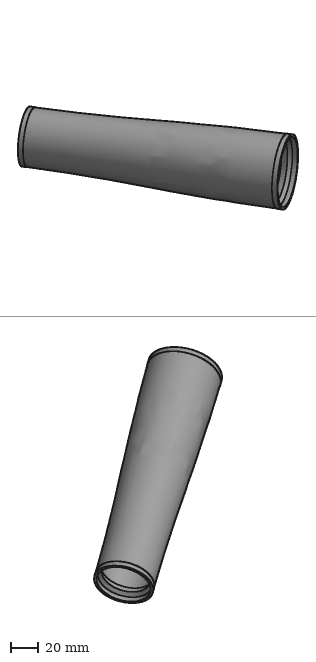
import cadquery as cq

length = 200.0
small_radius = 22.5
large_radius = 28.0
collar_length = 4.0
collar_step = 0.2
level_length = 0.2

rim_width = 2.0
throat_inset = 4.5
wall = 2.5
seat_depth = 4.0
throat_depth = 7.0
relief_depth = 12.0

half_length = length / 2
small_neck_radius = small_radius - collar_step
large_neck_radius = large_radius - collar_step


def add_taper(profile, start, end):
    """Add an S-curve of two tangent arcs that runs parallel to X at both ends."""
    middle = ((start[0] + end[0]) / 2, (start[1] + end[1]) / 2)
    return profile.tangentArcPoint(middle, relative=False).tangentArcPoint(end, relative=False)


def revolve_about_x(profile):
    return profile.close().revolve(360, (0, 0, 0), (1, 0, 0))


def make_outer_body():
    neck_end = half_length - collar_length
    small_neck = (-neck_end, small_neck_radius)
    large_neck = (neck_end, large_neck_radius)
    taper_start = (-neck_end + level_length, small_neck_radius)
    taper_end = (neck_end - level_length, large_neck_radius)
    profile = (
        cq.Workplane("XY")
        .moveTo(-half_length, 0)
        .lineTo(-half_length, small_radius)
        .lineTo(-neck_end, small_radius)
        .lineTo(*small_neck)
        .lineTo(*taper_start)
    )
    profile = add_taper(profile, taper_start, taper_end)
    profile = (
        profile.lineTo(*large_neck)
        .lineTo(neck_end, large_radius)
        .lineTo(half_length, large_radius)
        .lineTo(half_length, 0)
    )
    return revolve_about_x(profile)


def make_bore():
    seat_end = half_length - seat_depth
    throat = half_length - throat_depth
    relief_end = half_length - relief_depth
    taper_limit = relief_end - level_length
    small_bore_radius = small_neck_radius - wall
    large_bore_radius = large_neck_radius - wall
    taper_start = (-taper_limit, small_bore_radius)
    taper_end = (taper_limit, large_bore_radius)
    profile = (
        cq.Workplane("XY")
        .moveTo(-half_length, 0)
        .lineTo(-half_length, small_radius - rim_width)
        .lineTo(-seat_end, small_radius - rim_width)
        .lineTo(-throat, small_radius - throat_inset)
        .lineTo(-relief_end, small_bore_radius)
        .lineTo(*taper_start)
    )
    profile = add_taper(profile, taper_start, taper_end)
    profile = (
        profile.lineTo(relief_end, large_bore_radius)
        .lineTo(throat, large_radius - throat_inset)
        .lineTo(seat_end, large_radius - rim_width)
        .lineTo(half_length, large_radius - rim_width)
        .lineTo(half_length, 0)
    )
    return revolve_about_x(profile)


result = make_outer_body().cut(make_bore())